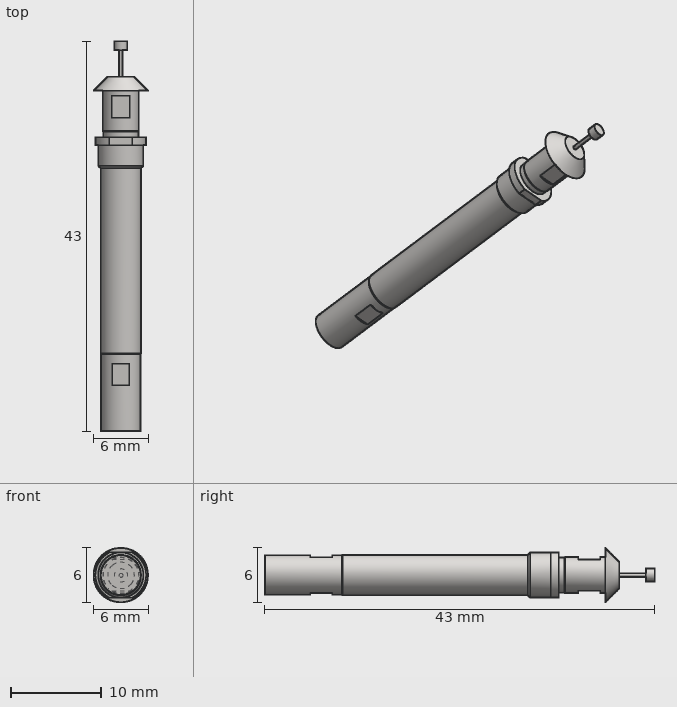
import cadquery as cq

tail_end = 8.6
body_end = 29.0
collar_start = 31.5
collar_end = 32.42
neck_start = 33.02
cone_base = 37.55
cone_tip = 39.1
head_start = 42.0
total_length = 43.0

tail_diameter = 4.4
body_diameter = 4.47
barrel_diameter = 5.0
collar_diameter = 5.6
neck_root_diameter = 3.9
neck_diameter = 4.0
cone_base_diameter = 6.0
cone_tip_diameter = cone_base_diameter - 2 * (cone_tip - cone_base)
pin_diameter = 0.45
head_diameter = 1.45

body_bevel = 0.15
barrel_chamfer = (barrel_diameter - body_diameter) / 2
neck_bevel = 0.1

flat_length = 2.4
tail_flat_start = 5.05
tail_across_flats = 3.95
neck_flat_start = 34.57
neck_across_flats = 3.5


def turned_body():
    """Revolve the stepped half outline about the Y axis."""
    steps = [
        (tail_diameter, 0),
        (tail_diameter, tail_end - body_bevel),
        (body_diameter, tail_end),
        (body_diameter, body_end),
        (barrel_diameter, body_end + barrel_chamfer),
        (barrel_diameter, collar_start),
        (collar_diameter, collar_start),
        (collar_diameter, collar_end),
        (neck_root_diameter, collar_end),
        (neck_root_diameter, neck_start),
        (neck_diameter, neck_start + neck_bevel),
        (neck_diameter, cone_base),
        (cone_base_diameter, cone_base),
        (cone_tip_diameter, cone_tip),
        (pin_diameter, cone_tip),
        (pin_diameter, head_start),
        (head_diameter, head_start),
        (head_diameter, total_length),
    ]
    outline = [(0, 0)]
    outline += [(diameter / 2, station) for diameter, station in steps]
    outline += [(0, total_length)]
    return cq.Workplane("XY").polyline(outline).close().revolve(360, (0, 0, 0), (0, 1, 0))


def flat_cutter(start, length, across_flats):
    """Two slabs that leave opposite flats, across_flats apart along Z."""
    reach = cone_base_diameter
    slab = cq.Workplane("XY").box(reach, length, reach, centered=(True, False, False))
    upper = slab.translate((0, start, across_flats / 2))
    lower = slab.translate((0, start, -across_flats / 2 - reach))
    return upper.union(lower)


tail_flats = flat_cutter(tail_flat_start, flat_length, tail_across_flats)
neck_flats = flat_cutter(neck_flat_start, flat_length, neck_across_flats)
collar_flats = flat_cutter(collar_start, collar_end - collar_start, barrel_diameter)

result = turned_body().cut(tail_flats).cut(collar_flats).cut(neck_flats)